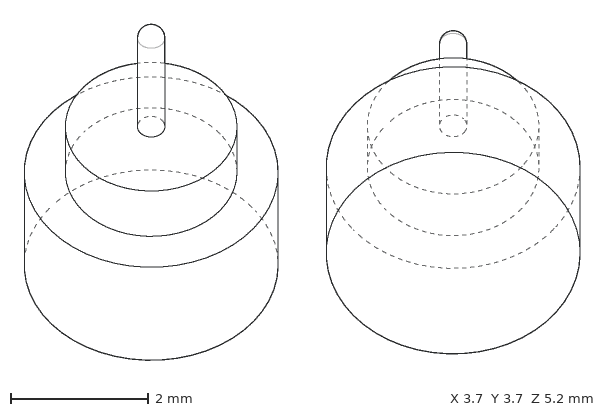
import cadquery as cq

total_height = 5.2
base_diameter = 3.7
base_height = 2.05
collar_diameter = 2.5
collar_height = 1.0
pin_diameter = 0.4

pin_radius = pin_diameter / 2
shoulder_height = base_height + collar_height
pin_length = total_height - shoulder_height

base = cq.Workplane("XY").circle(base_diameter / 2).extrude(base_height)

collar = (
    cq.Workplane("XY", origin=(0, 0, base_height))
    .circle(collar_diameter / 2)
    .extrude(collar_height)
)

pin_shank = (
    cq.Workplane("XY", origin=(0, 0, shoulder_height))
    .circle(pin_radius)
    .extrude(pin_length - pin_radius)
)
pin_tip = cq.Workplane("XY", origin=(0, 0, total_height - pin_radius)).sphere(pin_radius)

result = base.union(collar).union(pin_shank).union(pin_tip)